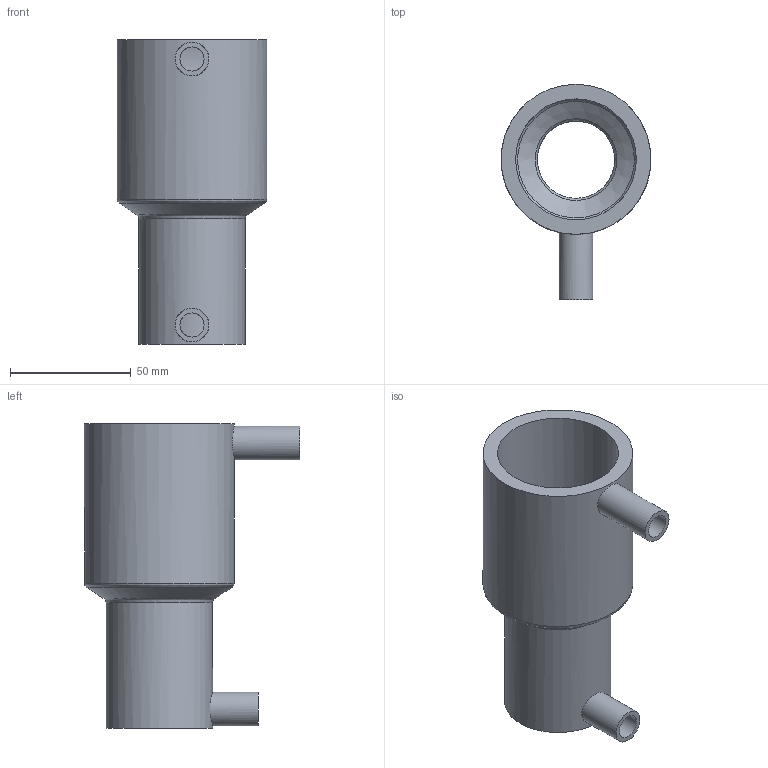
import cadquery as cq

total_height = 126.0
lower_outer_radius = 22.0
upper_outer_radius = 31.0
wall_thickness = 6.0
lower_bore_radius = lower_outer_radius - wall_thickness
upper_bore_radius = upper_outer_radius - wall_thickness

cone_bottom = 53.0
cone_top = 59.0
cone_blend_radius = 2.0

port_outer_radius = 7.0
port_bore_radius = 5.0
port_end_inset = 8.0
lower_port_reach = 41.0
upper_port_reach = 58.0
ports = [
    (port_end_inset, lower_port_reach),
    (total_height - port_end_inset, upper_port_reach),
]


def stepped_solid(lower_radius, upper_radius):
    """Two coaxial cylinders joined by a cone with rounded transitions."""
    body = (
        cq.Workplane("XZ")
        .lineTo(lower_radius, 0)
        .lineTo(lower_radius, cone_bottom)
        .lineTo(upper_radius, cone_top)
        .lineTo(upper_radius, total_height)
        .lineTo(0, total_height)
        .close()
        .revolve(360, (0, 0, 0), (0, 1, 0))
    )
    cone_rims = cq.selectors.BoxSelector(
        (-upper_radius, -upper_radius, cone_bottom - cone_blend_radius),
        (upper_radius, upper_radius, cone_top + cone_blend_radius),
    )
    return body.edges(cone_rims).edges("%CIRCLE").fillet(cone_blend_radius)


def port_pipe(height, reach):
    """Pipe from the tube axis out to its open end at Y = -reach."""
    return (
        cq.Workplane("XZ")
        .center(0, height)
        .circle(port_outer_radius)
        .circle(port_bore_radius)
        .extrude(reach)
    )


outer_body = stepped_solid(lower_outer_radius, upper_outer_radius)
bore = stepped_solid(lower_bore_radius, upper_bore_radius)

result = outer_body.cut(bore)
for height, reach in ports:
    result = result.union(port_pipe(height, reach).cut(outer_body))